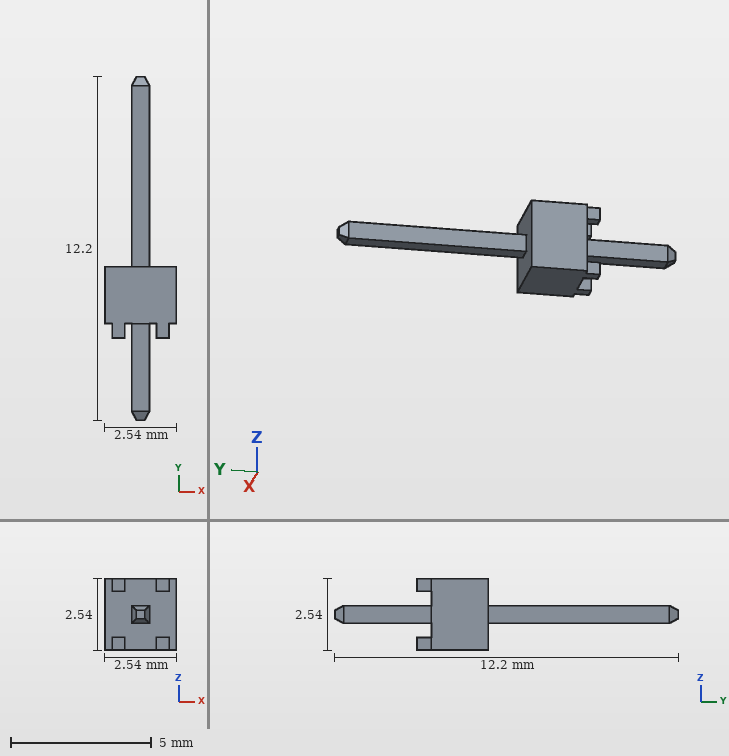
import cadquery as cq

housing_width = 2.54
housing_length = 2.02

foot_width = 0.45
foot_height = 0.45
foot_length = 0.51
foot_side_inset = 0.25

pin_length = 12.19
pin_width = 0.63
pin_front_length = 3.43
tip_length = 0.32
tip_width = 0.29

pin_front_y = -pin_front_length
foot_x = housing_width / 2 - foot_side_inset - foot_width / 2
foot_z = housing_width / 2 - foot_height / 2


def bar_along_y(width, height, start_y, length):
    """Bar centred on the Y axis, running from start_y toward +Y."""
    return cq.Workplane("XY").box(width, length, height).translate((0, start_y + length / 2, 0))


def make_tip(base_y, direction):
    """Tapered pin end, narrowing from base_y toward +Y (1) or -Y (-1)."""
    base_plane = cq.Plane(origin=(0, base_y, 0), xDir=(1, 0, 0), normal=(0, direction, 0))
    return (
        cq.Workplane(base_plane)
        .rect(pin_width, pin_width)
        .workplane(offset=tip_length)
        .rect(tip_width, tip_width)
        .loft(ruled=True)
    )


def make_pin():
    shaft_start_y = pin_front_y + tip_length
    shaft_length = pin_length - 2 * tip_length
    shaft = bar_along_y(pin_width, pin_width, shaft_start_y, shaft_length)
    front_tip = make_tip(shaft_start_y, -1)
    rear_tip = make_tip(shaft_start_y + shaft_length, 1)
    return shaft.union(front_tip).union(rear_tip)


def make_housing():
    block = bar_along_y(housing_width, housing_width, 0, housing_length)
    foot = bar_along_y(foot_width, foot_height, -foot_length, foot_length)
    for x_side in (-1, 1):
        for z_side in (-1, 1):
            block = block.union(foot.translate((x_side * foot_x, 0, z_side * foot_z)))
    pin_hole = bar_along_y(pin_width, pin_width, 0, housing_length)
    return block.cut(pin_hole)


housing = make_housing()
pin = make_pin()

result = cq.Compound.makeCompound([housing.val(), pin.val()])